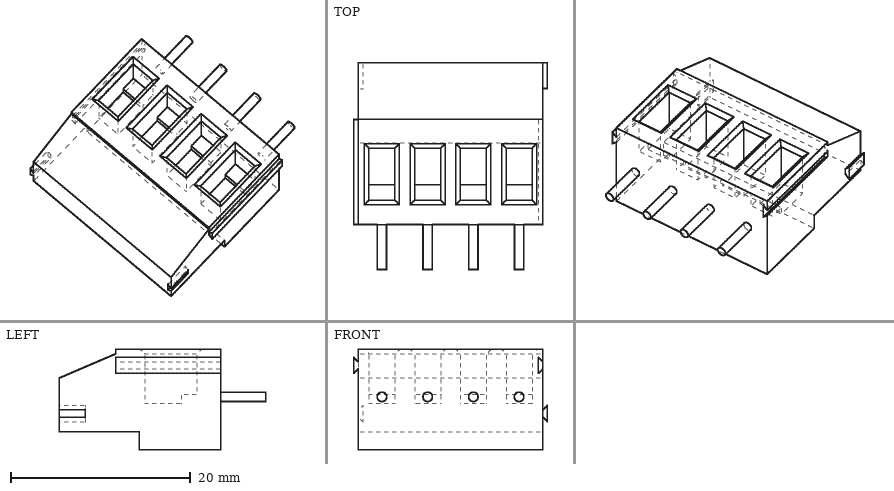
import cadquery as cq


way_count = 4
pitch = 5.08

body_width = 20.54
body_depth = 18.0
body_height = 11.2
top_depth = 11.7
slope_top_height = 10.7
back_height = 8.0
foot_depth = 9.1
foot_height = 2.0

pin_diameter = 1.05
pin_length = 5.0
pin_height = 5.9

well_width = 2.9
well_front = 2.7
well_back = 8.5
well_bevel = 0.5
well_depth = 6.0
ledge_back = 4.4
ledge_depth = 5.0

dovetail_reach = 0.5
dovetail_tip = 1.8
dovetail_neck = 0.8
upper_dovetail_height = 9.4
lower_dovetail_height = 4.05
lower_dovetail_length = 2.9

left_side = -body_width / 2
right_side = body_width / 2
way_positions = [(way - (way_count - 1) / 2) * pitch for way in range(way_count)]


def make_body():
    """Stepped, sloped side profile extruded across the width."""
    return (
        cq.Workplane("YZ")
        .workplane(offset=left_side)
        .polyline([
            (0, 0),
            (foot_depth, 0),
            (foot_depth, foot_height),
            (body_depth, foot_height),
            (body_depth, back_height),
            (top_depth, slope_top_height),
            (top_depth, body_height),
            (0, body_height),
        ])
        .close()
        .extrude(body_width)
    )


def make_dovetail(side, height, front, back):
    """Dovetail along Y, widening toward -X from its neck on the given side."""
    tip = side - dovetail_reach
    return (
        cq.Workplane("XZ", origin=(0, back, 0))
        .polyline([
            (side, height - dovetail_neck / 2),
            (tip, height - dovetail_tip / 2),
            (tip, height + dovetail_tip / 2),
            (side, height + dovetail_neck / 2),
        ])
        .close()
        .extrude(back - front)
    )


def make_lower_rail():
    """Short dovetail rail at the back of the right side, widening toward +X."""
    back_start = body_depth - lower_dovetail_length
    rail = make_dovetail(left_side, lower_dovetail_height, back_start, body_depth)
    return rail.mirror("YZ")


def make_well(x):
    """Rectangular well with a bevelled mouth and a ledge at the front of its floor."""
    length = well_back - well_front
    top = cq.Workplane("XY", origin=(x, (well_front + well_back) / 2, body_height))
    shaft = top.rect(well_width, length).extrude(-well_depth)
    mouth = (
        top.rect(well_width + 2 * well_bevel, length + 2 * well_bevel)
        .workplane(offset=-well_bevel)
        .rect(well_width, length)
        .loft(ruled=True)
    )
    ledge_length = ledge_back - well_front
    ledge_rise = well_depth - ledge_depth
    ledge = cq.Workplane("XY").box(well_width, ledge_length, ledge_rise, centered=(True, False, False))
    ledge = ledge.translate((x, well_front, body_height - well_depth))
    return shaft.cut(ledge).union(mouth)


def make_pin(x):
    """Round pin standing out of the front face toward -Y."""
    return cq.Workplane("XZ", origin=(x, 0, pin_height)).circle(pin_diameter / 2).extrude(pin_length)


result = make_body()

result = result.union(make_dovetail(left_side, upper_dovetail_height, 0, top_depth))
result = result.cut(make_dovetail(right_side, upper_dovetail_height, 0, top_depth))

lower_rail = make_lower_rail()
result = result.union(lower_rail)
result = result.cut(lower_rail.translate((-body_width, 0, 0)))

for way_x in way_positions:
    result = result.cut(make_well(way_x))
    result = result.union(make_pin(way_x))